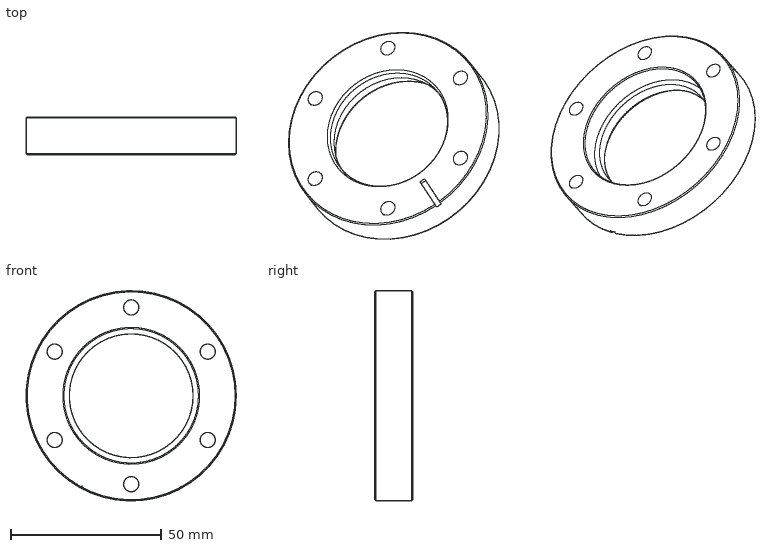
import cadquery as cq
import math

outer_diameter = 70.0
thickness = 12.7
edge_chamfer = 0.4

bore_diameter = 41.1
counterbore_diameter = 44.7
counterbore_depth = 7.6
flare_depth = 1.2
flare_width = 0.7

bolt_count = 6
bolt_hole_diameter = 5.0
bolt_circle_diameter = 58.8

groove_width = 1.8
groove_depth = 1.4
groove_length = 10.85
groove_angle = 240.0

outer_radius = outer_diameter / 2
bore_radius = bore_diameter / 2
counterbore_radius = counterbore_diameter / 2
front = -thickness / 2
back = thickness / 2


def ring_body():
    """Revolve the half section of the ring about the Y axis."""
    counterbore_floor = front + counterbore_depth
    section = [
        (counterbore_radius + edge_chamfer, front),
        (outer_radius - edge_chamfer, front),
        (outer_radius, front + edge_chamfer),
        (outer_radius, back - edge_chamfer),
        (outer_radius - edge_chamfer, back),
        (bore_radius + flare_width, back),
        (bore_radius, back - flare_depth),
        (bore_radius, counterbore_floor),
        (counterbore_radius, counterbore_floor),
        (counterbore_radius, front + edge_chamfer),
    ]
    return cq.Workplane("XY").polyline(section).close().revolve(360, (0, 0, 0), (0, 1, 0))


def bolt_holes():
    """Through holes evenly spaced from the top of the ring."""
    hole_places = []
    for index in range(bolt_count):
        angle = math.radians(90 + index * 360 / bolt_count)
        x = bolt_circle_diameter / 2 * math.cos(angle)
        z = bolt_circle_diameter / 2 * math.sin(angle)
        hole_places.append((x, z))
    return (
        cq.Workplane("XZ")
        .pushPoints(hole_places)
        .circle(bolt_hole_diameter / 2)
        .extrude(thickness, both=True)
    )


def rim_groove():
    """Box running inward from just outside the rim, turned to its angle about Y."""
    rim_overrun = 0.7
    groove = cq.Workplane("XY").box(groove_length + rim_overrun, 2 * groove_depth, groove_width)
    groove = groove.translate((outer_radius + (rim_overrun - groove_length) / 2, back, 0))
    return groove.rotate((0, 0, 0), (0, 1, 0), -groove_angle)


result = ring_body().cut(bolt_holes()).cut(rim_groove())